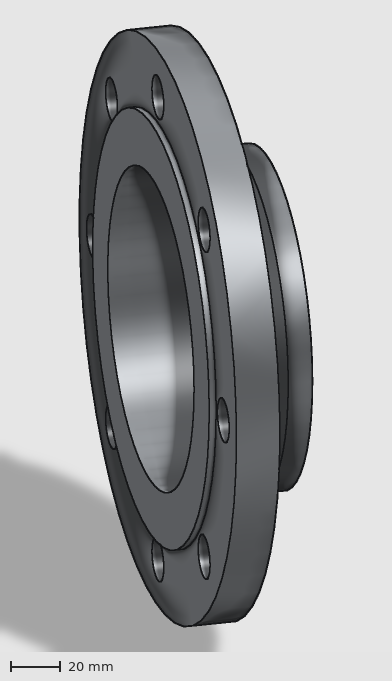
import cadquery as cq

flange_diameter = 240.0
overall_length = 48.0
bore_diameter = 131.8

face_diameter = 178.0
face_height = 3.0
plate_back = 21.0

neck_diameter = 140.0
neck_length = 10.0
hub_base_diameter = 154.5
root_fillet_radius = 7.0

bolt_count = 8
bolt_circle_diameter = 200.0
bolt_hole_diameter = 18.0


def make_body():
    """Revolve the half section (radius, axial position) about the Y axis."""
    bore_radius = bore_diameter / 2
    face_radius = face_diameter / 2
    flange_radius = flange_diameter / 2
    neck_radius = neck_diameter / 2
    section = (
        cq.Workplane("XY")
        .moveTo(bore_radius, 0)
        .lineTo(face_radius, 0)
        .lineTo(face_radius, face_height)
        .lineTo(flange_radius, face_height)
        .lineTo(flange_radius, plate_back)
        .lineTo(hub_base_diameter / 2, plate_back)
        .lineTo(neck_radius, overall_length - neck_length)
        .lineTo(neck_radius, overall_length)
        .lineTo(bore_radius, overall_length)
        .close()
    )
    return section.revolve(360, (0, 0, 0), (0, 1, 0))


def round_hub_root(body):
    """Blend the conical hub into the back of the flange plate."""
    margin = 0.2
    reach = hub_base_diameter / 2 + margin
    root_edge = cq.selectors.BoxSelector(
        (-reach, plate_back - margin, -reach),
        (reach, plate_back + margin, reach),
        boundingbox=True,
    )
    return body.edges(root_edge).fillet(root_fillet_radius)


def make_bolt_holes():
    """Cylinders on the bolt circle, running through the flange plate."""
    return (
        cq.Workplane("XZ")
        .polarArray(bolt_circle_diameter / 2, 0, 360, bolt_count)
        .circle(bolt_hole_diameter / 2)
        .extrude(-overall_length)
    )


result = round_hub_root(make_body()).cut(make_bolt_holes())